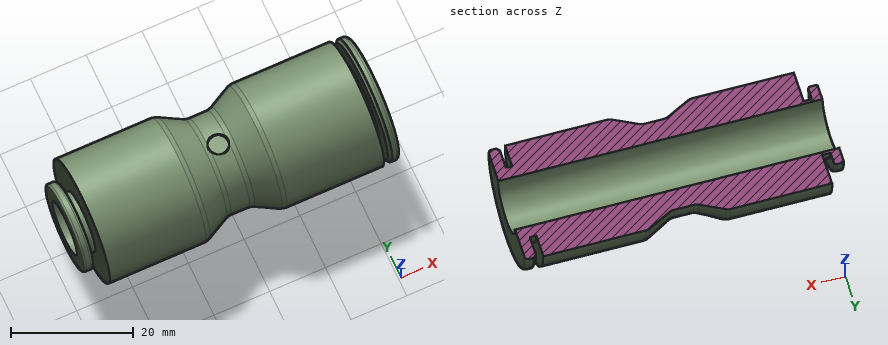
import cadquery as cq

total_length = 55.15

body_radius = 11.06
body_start = 3.05
body_end = 52.2
waist_radius = 8.6
waist_center = 27.5
waist_length = 4.2
cone_length = 4.75
blend_radius = 1.75

small_collar_radius = 7.8
small_collar_thickness = 1.7
small_neck_radius = 5.4
small_outer_round = 0.35
small_inner_round = 0.5

large_collar_radius = 10.9
large_collar_thickness = 2.0
large_neck_radius = 6.95
large_outer_round = 0.65
large_inner_chamfer = 0.55

bore_radius = 4.8

recess_radius = 1.75
recess_depth = 0.55


def cylinder(start, end, radius):
    """Solid cylinder on the X axis between two X positions."""
    return cq.Workplane("YZ").workplane(offset=start).circle(radius).extrude(end - start)


def make_body():
    """Revolved body with rounded corners where the cones meet the cylinders."""
    waist_start = waist_center - waist_length / 2
    waist_end = waist_center + waist_length / 2
    body = (
        cq.Workplane("XY")
        .moveTo(body_start, 0)
        .lineTo(body_start, body_radius)
        .lineTo(waist_start - cone_length, body_radius)
        .lineTo(waist_start, waist_radius)
        .lineTo(waist_end, waist_radius)
        .lineTo(waist_end + cone_length, body_radius)
        .lineTo(body_end, body_radius)
        .lineTo(body_end, 0)
        .close()
        .revolve(360, (0, 0, 0), (1, 0, 0))
    )
    cone_edges = body.edges("%CIRCLE").edges(cq.selectors.BoxSelector(
        (waist_start - cone_length - blend_radius, -body_radius, -body_radius),
        (waist_end + cone_length + blend_radius, body_radius, body_radius),
    ))
    return body.newObject(cone_edges.vals()).fillet(blend_radius)


small_collar = (
    cylinder(0, small_collar_thickness, small_collar_radius)
    .faces("<X").edges().fillet(small_outer_round)
    .faces(">X").edges().fillet(small_inner_round)
)
large_collar = (
    cylinder(total_length - large_collar_thickness, total_length, large_collar_radius)
    .faces("<X").edges().chamfer(large_inner_chamfer)
    .faces(">X").edges().fillet(large_outer_round)
)

small_neck = cylinder(small_collar_thickness / 2, waist_center, small_neck_radius)
large_neck = cylinder(waist_center, total_length - large_collar_thickness / 2, large_neck_radius)

bore = cylinder(0, total_length, bore_radius)

recess = (
    cq.Workplane("XY")
    .workplane(offset=waist_radius - recess_depth)
    .center(waist_center, 0)
    .circle(recess_radius)
    .extrude(body_radius - waist_radius + recess_depth)
)

result = (
    make_body()
    .union(small_neck)
    .union(large_neck)
    .union(small_collar)
    .union(large_collar)
    .cut(bore)
    .cut(recess)
)